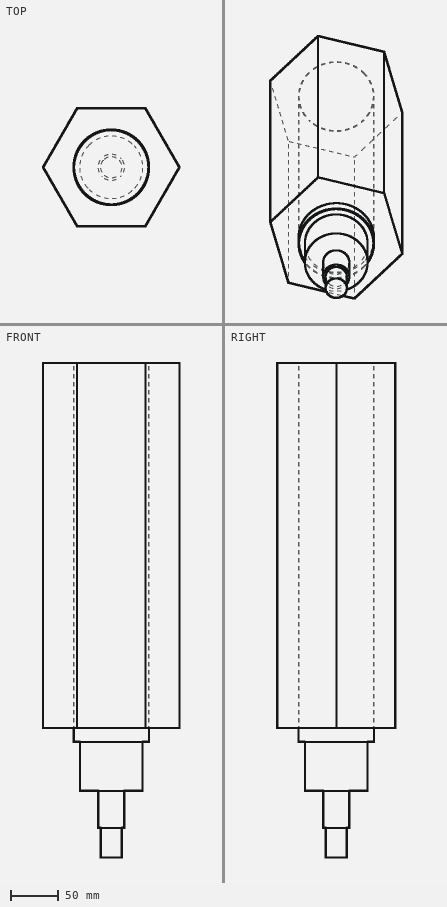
import cadquery as cq
import math

TOTAL_HEIGHT = 521.0
HEX_ACROSS_FLATS = 124.5
LINER_DIAMETER = 79.5
LINER_WALL = 0.8
NOSE_DIAMETER = 66.0
SHAFT_DIAMETER = 27.5
TIP_DIAMETER = 22.5

LINER_PROJECTION = 14.5
NOSE_LENGTH = 51.5
SHAFT_LENGTH = 39.0
TIP_LENGTH = 31.0

shaft_bottom = TIP_LENGTH
nose_bottom = shaft_bottom + SHAFT_LENGTH
liner_bottom = nose_bottom + NOSE_LENGTH
housing_bottom = liner_bottom + LINER_PROJECTION

liner_bore = LINER_DIAMETER - 2 * LINER_WALL


def cylinder(diameter, bottom, top):
    """Vertical cylinder on the Z axis between two levels."""
    return cq.Workplane("XY").workplane(offset=bottom).circle(diameter / 2).extrude(top - bottom)


def make_housing():
    """Hexagonal prism, two flats square to Y, bored through for the liner."""
    across_corners = HEX_ACROSS_FLATS / math.cos(math.pi / 6)
    prism = (
        cq.Workplane("XY")
        .workplane(offset=housing_bottom)
        .polygon(6, across_corners)
        .extrude(TOTAL_HEIGHT - housing_bottom)
    )
    return prism.cut(cylinder(LINER_DIAMETER, housing_bottom, TOTAL_HEIGHT))


def make_liner():
    """Thin tube through the housing, projecting below it."""
    tube = cylinder(LINER_DIAMETER, liner_bottom, TOTAL_HEIGHT)
    return tube.cut(cylinder(liner_bore, liner_bottom, TOTAL_HEIGHT))


def make_core():
    """Round bar that fills the liner."""
    return cylinder(liner_bore, liner_bottom, TOTAL_HEIGHT)


def make_nose():
    """Cylinder below the liner and core."""
    return cylinder(NOSE_DIAMETER, nose_bottom, liner_bottom)


def make_shaft():
    """Slim cylinder below the nose."""
    return cylinder(SHAFT_DIAMETER, shaft_bottom, nose_bottom)


def make_tip():
    """Slightly thinner cylinder that ends the shaft."""
    return cylinder(TIP_DIAMETER, 0, shaft_bottom)


housing = make_housing()
liner = make_liner()
core = make_core()
nose = make_nose()
shaft = make_shaft()
tip = make_tip()

result = cq.Compound.makeCompound(
    [housing.val(), liner.val(), core.val(), nose.val(), shaft.val(), tip.val()]
)